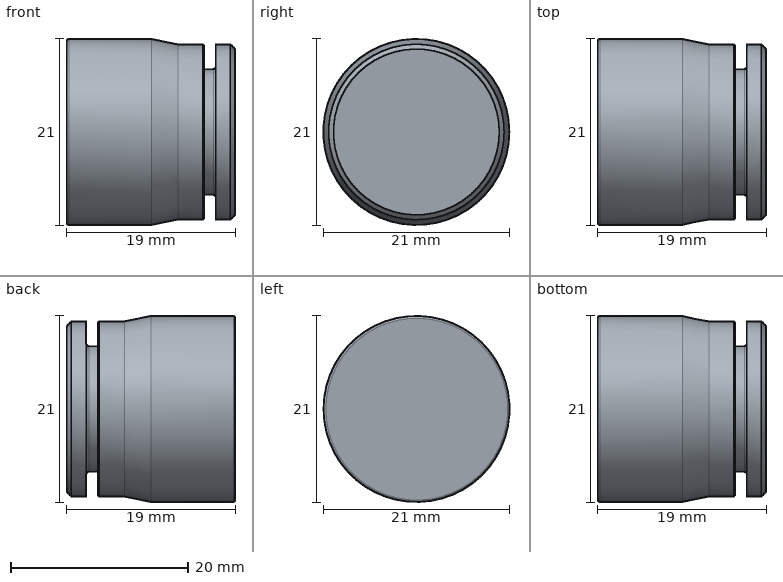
import cadquery as cq
import math

head_radius = 10.5
neck_radius = 9.9
groove_radius = 7.1

taper_start = 9.53
taper_end = 12.52
groove_start = 15.5
flange_start = 16.8
total_length = 19.0

front_fillet = 0.25
neck_chamfer = 0.17
groove_fillet = 0.3
flange_chamfer = 0.55


def fillet_mid(center, radius, direction_degrees):
    """Midpoint of a quarter-round arc in the given direction from its center."""
    angle = math.radians(direction_degrees)
    return (center[0] + radius * math.cos(angle), center[1] + radius * math.sin(angle))


front_center = (front_fillet, head_radius - front_fillet)
groove_center = (flange_start - groove_fillet, groove_radius + groove_fillet)

half_profile = (
    cq.Workplane("XY")
    .moveTo(0, 0)
    .lineTo(0, head_radius - front_fillet)
    .threePointArc(fillet_mid(front_center, front_fillet, 135), (front_fillet, head_radius))
    .lineTo(taper_start, head_radius)
    .lineTo(taper_end, neck_radius)
    .lineTo(groove_start - neck_chamfer, neck_radius)
    .lineTo(groove_start, neck_radius - neck_chamfer)
    .lineTo(groove_start, groove_radius)
    .lineTo(flange_start - groove_fillet, groove_radius)
    .threePointArc(
        fillet_mid(groove_center, groove_fillet, -45),
        (flange_start, groove_radius + groove_fillet),
    )
    .lineTo(flange_start, neck_radius)
    .lineTo(total_length - flange_chamfer, neck_radius)
    .lineTo(total_length, neck_radius - flange_chamfer)
    .lineTo(total_length, 0)
    .close()
)

result = half_profile.revolve(360, (0, 0, 0), (1, 0, 0))